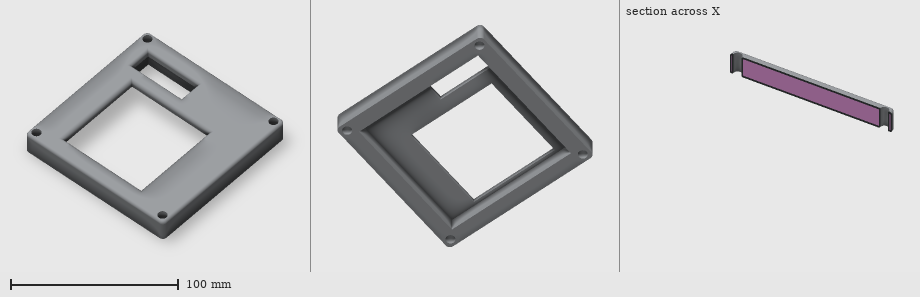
import cadquery as cq

side = 110.0
height = 15.0
plate_thickness = 5.0
rim_width = 10.0
corner_radius = 3.0
top_edge_radius = 2.0

screw_hole_diameter = 6.0
screw_hole_inset = 5.0

large_window_size = 61.3
large_window_center = (-4.0, -12.1)
large_window_edge_radius = 2.5
small_window_length = 39.8
small_window_width = 15.0
small_window_center = (-23.4, 35.5)
small_window_edge_radius = 2.0

selection_margin = 0.1


def make_cover():
    """Rounded block hollowed from below, leaving the top plate and the rim."""
    block = cq.Workplane("XY").rect(side, side).extrude(height)
    block = block.edges("|Z").fillet(corner_radius)
    block = block.faces(">Z").edges().fillet(top_edge_radius)
    cavity_side = side - 2 * rim_width
    cavity = cq.Workplane("XY").rect(cavity_side, cavity_side).extrude(height - plate_thickness)
    return block.cut(cavity)


def cut_window(body, center, length, width, edge_radius):
    """Cut a rectangular window through the plate and round its upper edge."""
    x, y = center
    opening = cq.Workplane("XY").center(x, y).rect(length, width).extrude(height)
    body = body.cut(opening)
    reach_x = length / 2 + selection_margin
    reach_y = width / 2 + selection_margin
    upper_edge = cq.selectors.BoxSelector(
        (x - reach_x, y - reach_y, height - selection_margin),
        (x + reach_x, y + reach_y, height + selection_margin),
    )
    return body.edges(upper_edge).fillet(edge_radius)


def cut_screw_holes(body):
    """Drill the four corner holes through plate and rim."""
    spacing = side - 2 * screw_hole_inset
    holes = (
        cq.Workplane("XY")
        .rect(spacing, spacing, forConstruction=True)
        .vertices()
        .circle(screw_hole_diameter / 2)
        .extrude(height)
    )
    return body.cut(holes)


cover = make_cover()
cover = cut_window(
    cover, large_window_center, large_window_size, large_window_size, large_window_edge_radius
)
cover = cut_window(
    cover, small_window_center, small_window_length, small_window_width, small_window_edge_radius
)
result = cut_screw_holes(cover)